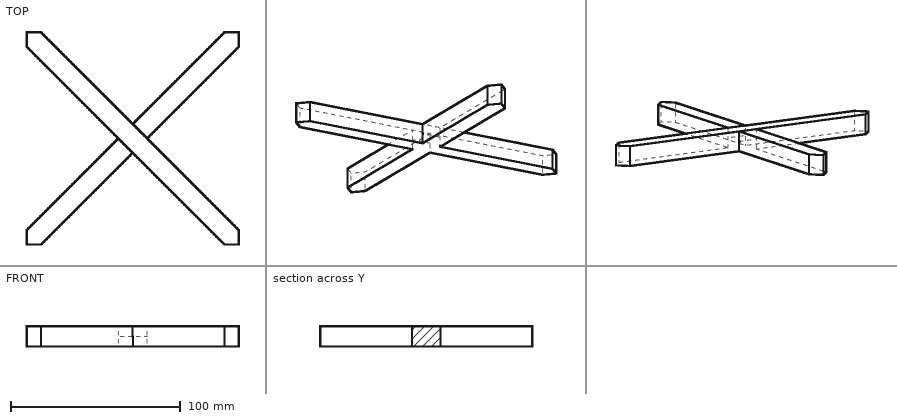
import cadquery as cq
import math

side = 125.0
bar = 12.0
joint_clearance = 0.05

half_height = bar / 2
bar_length = side * math.sqrt(2)
rising = 45
falling = -45


def turned_box(width, height, angle):
    """Centred box as long as the diagonal, turned about Z."""
    return cq.Workplane("XY").box(bar_length, width, height).rotate((0, 0, 0), (0, 0, 1), angle)


def diagonal_bar(angle):
    """Full-height bar through the centre, its ends trimmed to a right-angled point."""
    envelope = cq.Workplane("XY").box(side, side, bar)
    return turned_box(bar, bar, angle).intersect(envelope)


def notch(width, angle, middle_z):
    """Half-height channel that receives the bar lying at the given angle."""
    return turned_box(width, half_height, angle).translate((0, 0, middle_z))


upper_notch = notch(bar + 2 * joint_clearance, falling, half_height / 2)
rising_bar = diagonal_bar(rising).cut(upper_notch)

lower_notch = notch(bar, rising, -half_height / 2)
falling_bar = diagonal_bar(falling).cut(lower_notch)

result = rising_bar.union(falling_bar)